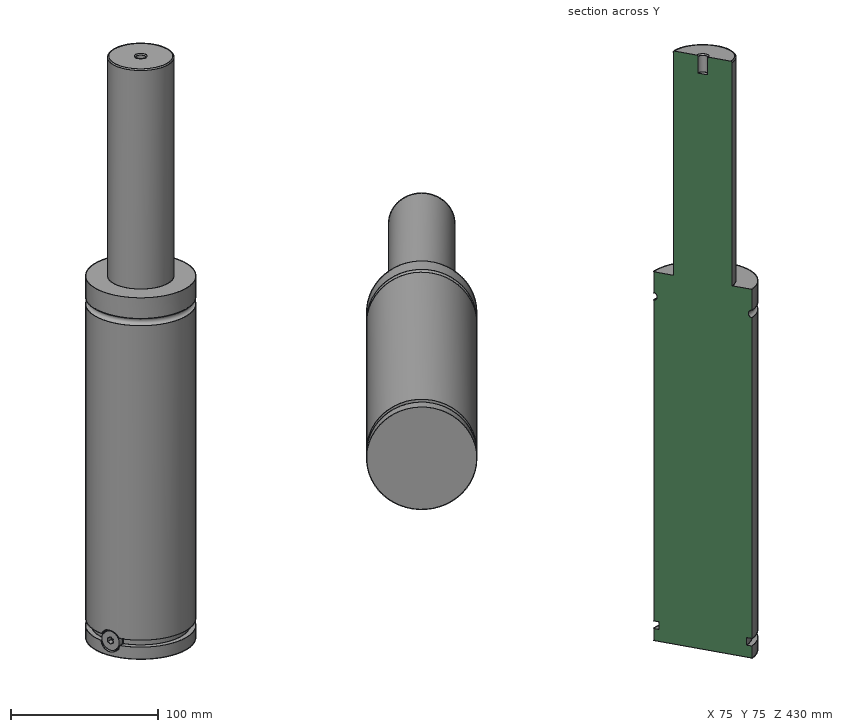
import cadquery as cq

total_height = 430.0
body_diameter = 75.0
body_height = 267.5
rod_diameter = 45.0
rod_chamfer = 1.0

rod_hole_diameter = 7.0
rod_hole_depth = 13.0
rod_hole_chamfer = 1.0

upper_groove_radius = 2.5
upper_groove_drop = 18.0
upper_groove_height = body_height - upper_groove_drop

lower_groove_bottom = 9.0
lower_groove_width = 5.0
lower_groove_depth = 4.0

plug_diameter = 14.0
plug_recess_diameter = 16.0
plug_recess_floor = 32.2
plug_height = 10.8
plug_face_distance = 36.5
plug_socket_diameter = 5.0
plug_socket_depth = 4.5
plug_socket_turn = 30

body_radius = body_diameter / 2


def make_cylinder_with_rod():
    body = cq.Workplane("XY").circle(body_radius).extrude(body_height)
    rod = (
        cq.Workplane("XY")
        .circle(rod_diameter / 2)
        .extrude(total_height)
        .faces(">Z")
        .chamfer(rod_chamfer)
    )
    return body.union(rod)


def make_upper_groove():
    return (
        cq.Workplane("XZ", origin=(0, 0, upper_groove_height))
        .center(body_radius, 0)
        .circle(upper_groove_radius)
        .revolve(360, (-body_radius, 0), (-body_radius, 1))
    )


def make_lower_groove():
    return (
        cq.Workplane("XY", origin=(0, 0, lower_groove_bottom))
        .circle(body_radius + lower_groove_depth)
        .circle(body_radius - lower_groove_depth)
        .extrude(lower_groove_width)
    )


def make_rod_hole():
    mouth_diameter = rod_hole_diameter + 2 * rod_hole_chamfer
    hole = (
        cq.Workplane("XY", origin=(0, 0, total_height - rod_hole_depth))
        .circle(rod_hole_diameter / 2)
        .extrude(rod_hole_depth)
    )
    countersink = (
        cq.Workplane("XY", origin=(0, 0, total_height - rod_hole_chamfer))
        .circle(rod_hole_diameter / 2)
        .workplane(offset=rod_hole_chamfer)
        .circle(mouth_diameter / 2)
        .loft()
    )
    return hole.union(countersink)


def plug_plane(distance):
    """Plane facing -Y at the given distance from the cylinder axis."""
    return cq.Workplane("XZ", origin=(0, -distance, plug_height))


def make_plug_recess():
    return plug_plane(plug_recess_floor).circle(plug_recess_diameter / 2).extrude(body_radius)


def make_plug():
    plug = (
        plug_plane(plug_recess_floor)
        .circle(plug_diameter / 2)
        .extrude(plug_face_distance - plug_recess_floor)
    )
    socket = (
        plug_plane(plug_face_distance - plug_socket_depth)
        .transformed(rotate=(0, 0, plug_socket_turn))
        .polygon(6, plug_socket_diameter)
        .extrude(plug_socket_depth)
    )
    return plug.cut(socket)


result = (
    make_cylinder_with_rod()
    .cut(make_upper_groove())
    .cut(make_lower_groove())
    .cut(make_rod_hole())
    .cut(make_plug_recess())
    .union(make_plug())
)